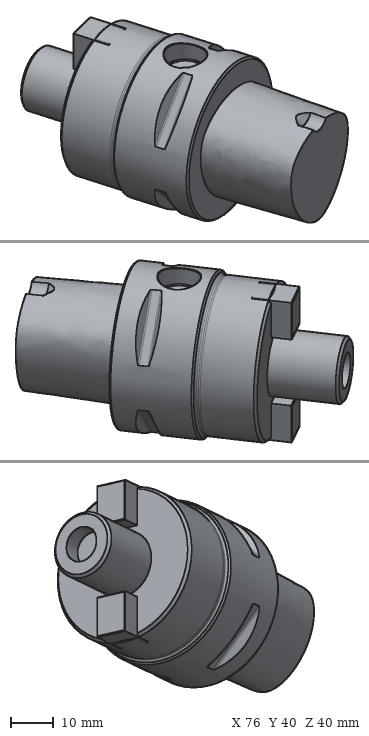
import cadquery as cq
import math

length = 76.0
body_start = 17.0
groove_start = 31.0
flange_start = 31.9
flange_end = 52.1
edge_chamfer = 0.7
flange_chamfer = 0.45
groove_fillet = 0.45
groove_lead = 0.45

pilot_diameter = 16.0
body_diameter = 38.0
groove_diameter = 37.8
flange_diameter = 40.0

bore_diameter = 8.5
bore_depth = 4.55

key_front = 12.0
key_back = 21.65
key_width = 8.0
key_inner = 8.8
key_outer = 18.7
key_chamfer = 0.2

shank_root_radius = 14.05
shank_end_radius = 13.4
lobe_height = 0.9
lobe_count = 3
shank_points = 36

notch_radius = 3.5
notch_depth = 1.8
notch_straight = 4.1
notch_tip_angle = 45.0

hole_x = 40.0
hole_diameter = 10.0
hole_rim_chamfer = 0.15
hole_floor_chamfer = 0.3
hole_depth = 5.2
center_diameter = 4.0
center_depth = 1.15

rim_margin = 0.75
rim_drop = 1.15

gripper_x = 44.1
gripper_floor_width = 2.6
gripper_fillet = 0.45
gripper_floor_radius = 17.7
gripper_wall_angle = 30.0
gripper_count = 4


def turned(start, end, diameter):
    """Cylinder about the X axis between two stations."""
    return cq.Workplane("YZ", origin=(start, 0, 0)).circle(diameter / 2).extrude(end - start)


def lobed_outline(radius):
    """Closed constant-width curve with one lobe pointing to -Z."""
    points = []
    for index in range(shank_points):
        angle = 2 * math.pi * index / shank_points
        support = radius + lobe_height * math.sin(lobe_count * angle)
        slope = lobe_count * lobe_height * math.cos(lobe_count * angle)
        y = support * math.cos(angle) - slope * math.sin(angle)
        z = support * math.sin(angle) + slope * math.cos(angle)
        points.append((y, z))
    return points


def make_body():
    """Front body whose rear end dips into a shallow groove and curves up to the flange."""
    body_radius = body_diameter / 2
    groove_radius = groove_diameter / 2
    return (
        cq.Workplane("XY")
        .moveTo(body_start, 0)
        .lineTo(body_start, body_radius - edge_chamfer)
        .lineTo(body_start + edge_chamfer, body_radius)
        .lineTo(groove_start - groove_lead, body_radius)
        .lineTo(groove_start, groove_radius)
        .lineTo(flange_start - groove_fillet, groove_radius)
        .radiusArc((flange_start, groove_radius + groove_fillet), -groove_fillet)
        .lineTo(flange_start, 0)
        .close()
        .revolve(360, (0, 0, 0), (1, 0, 0))
    )


def make_shank():
    """Tapered shank joining a large lobed outline at the flange to a smaller one at the end."""
    root = lobed_outline(shank_root_radius)
    end = lobed_outline(shank_end_radius)
    return (
        cq.Workplane("YZ", origin=(flange_end, 0, 0))
        .spline(root, periodic=True).close()
        .workplane(offset=length - flange_end)
        .spline(end, periodic=True).close()
        .loft(ruled=True)
    )


def make_key(side):
    """Rectangular drive key on the +Z (side = 1) or -Z (side = -1) half."""
    key_center = ((key_front + key_back) / 2, 0, side * (key_inner + key_outer) / 2)
    key = cq.Workplane("XY").box(key_back - key_front, key_width, key_outer - key_inner)
    return key.faces("<X").edges().chamfer(key_chamfer).translate(key_center)


def make_notch():
    """Round groove along X with a conical inner end, open at the shank end."""
    tip_length = notch_radius / math.tan(math.radians(notch_tip_angle))
    shoulder = length - notch_straight
    axis_height = shank_end_radius - lobe_height - notch_depth + notch_radius
    return (
        cq.Workplane("XZ")
        .moveTo(shoulder - tip_length, 0)
        .lineTo(shoulder, notch_radius)
        .lineTo(length, notch_radius)
        .lineTo(length, 0)
        .close()
        .revolve(360, (0, 0, 0), (1, 0, 0))
        .translate((0, 0, axis_height))
    )


def make_radial_hole():
    """Flat-bottomed hole from +Z with a conical centre mark in its floor."""
    floor = flange_diameter / 2 - hole_depth
    hole = cq.Workplane("XY", origin=(hole_x, 0, floor)).circle(hole_diameter / 2).extrude(2 * hole_depth)
    hole = hole.faces("<Z").chamfer(hole_floor_chamfer)
    mark = cq.Solid.makeCone(
        center_diameter / 2, 0, center_depth, cq.Vector(hole_x, 0, floor), cq.Vector(0, 0, -1)
    )
    return hole.union(cq.Workplane(mark))


def make_gripper_groove(angle):
    """Tangential groove with a flat floor and flaring walls."""
    height = flange_diameter / 2 - gripper_floor_radius
    flare = height * math.tan(math.radians(gripper_wall_angle))
    half_floor = gripper_floor_width / 2
    groove = (
        cq.Workplane("XZ", origin=(gripper_x, 0, 0))
        .moveTo(-half_floor, gripper_floor_radius)
        .lineTo(half_floor, gripper_floor_radius)
        .lineTo(half_floor + flare, flange_diameter / 2)
        .lineTo(-half_floor - flare, flange_diameter / 2)
        .close()
        .extrude(flange_diameter / 2, both=True)
    )
    groove = groove.faces("<Z").edges("|Y").fillet(gripper_fillet)
    return groove.rotate((0, 0, 0), (1, 0, 0), angle)


pilot = turned(0, body_start, pilot_diameter).faces("<X").chamfer(edge_chamfer)
flange = turned(flange_start, flange_end, flange_diameter).faces("<X or >X").chamfer(flange_chamfer)
result = pilot.union(make_body()).union(flange).union(make_shank())

for side in (1, -1):
    result = result.union(make_key(side))

result = result.cut(turned(0, bore_depth, bore_diameter))
result = result.cut(make_notch())
result = result.cut(make_radial_hole())

rim_reach = hole_diameter / 2 + rim_margin
rim_box = cq.selectors.BoxSelector(
    (hole_x - rim_reach, -rim_reach, flange_diameter / 2 - rim_drop),
    (hole_x + rim_reach, rim_reach, flange_diameter / 2 + rim_margin),
    boundingbox=True,
)
result = result.edges(rim_box).chamfer(hole_rim_chamfer)

for index in range(gripper_count):
    result = result.cut(make_gripper_groove((index + 0.5) * 360 / gripper_count))